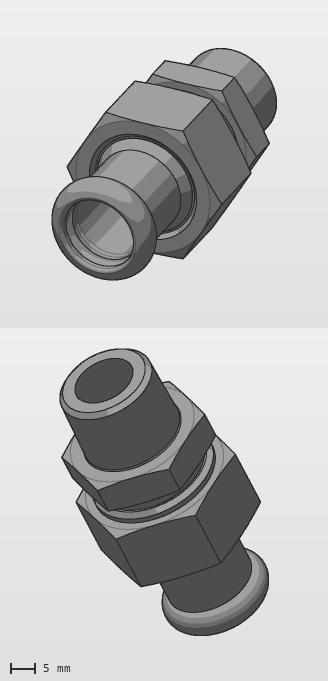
import cadquery as cq
import math

total_length = 64.0

bead_diameter = 22.7
bead_length = 6.4
bead_middle = bead_length / 2
tube_diameter = 18.3
tube_end = 20.0
collar_diameter = 21.4
collar_cone_end = 22.15

nut_flats = 30.0
nut_start = 21.45
nut_length = 15.0
nut_end = nut_start + nut_length
nut_opening = 24.0
nut_throat = 22.2
nut_opening_depth = (nut_opening - nut_throat) / 2

ring_diameter = 26.4
ring_chamfer = 1.0
ring_end = 38.5
neck_diameter = 23.5
hex_flats = 26.95
hex_start = 41.55
hex_length = 7.05
hex_end = hex_start + hex_length
hex_chamfer_angle = 15.0

flare_diameter = 21.25
flare_length = 0.4
thread_base_diameter = 20.9
thread_tip_diameter = 20.0
thread_chamfer = 1.0

mouth_rounding = 0.8
lip_diameter = 15.7
lip_end = 1.7
groove_diameter = 17.55
groove_end = 4.35
land_diameter = 15.3
land_end = 5.4
socket_diameter = 15.0
socket_start = 6.35
socket_end = 20.0
seat_diameter = 13.6
bore_diameter = 12.6
bore_start = 21.1
mouth_diameter = lip_diameter + 2 * mouth_rounding


def revolve_about_y(outline):
    return outline.close().revolve(360, (0, 0, 0), (0, 1, 0))


def turned_body(sections):
    """Solid of revolution through (diameter, position) pairs."""
    points = [(diameter / 2, position) for diameter, position in sections]
    outline = cq.Workplane("XY").moveTo(0, points[0][1])
    for point in points:
        outline = outline.lineTo(*point)
    return revolve_about_y(outline.lineTo(0, points[-1][1]))


def chamfered_hexagon(flats, start, length):
    """Hexagonal prism with corners along X and both ends turned to a shallow cone."""
    corners = flats / math.cos(math.pi / 6)
    drop = (corners - flats) / 2 * math.tan(math.radians(hex_chamfer_angle))
    prism = cq.Workplane("XZ", origin=(0, start, 0)).polygon(6, corners).extrude(-length)
    turned_blank = turned_body([
        (flats, start),
        (corners, start + drop),
        (corners, start + length - drop),
        (flats, start + length),
    ])
    return prism.intersect(turned_blank)


def rolled_bead():
    outline = (
        cq.Workplane("XY")
        .lineTo(mouth_diameter / 2, 0)
        .threePointArc((bead_diameter / 2, bead_middle), (tube_diameter / 2, bead_length))
        .lineTo(0, bead_length)
    )
    return revolve_about_y(outline)


def through_passage():
    groove_middle = (lip_end + groove_end) / 2
    outline = (
        cq.Workplane("XY")
        .lineTo(mouth_diameter / 2, 0)
        .radiusArc((lip_diameter / 2, mouth_rounding), mouth_rounding)
        .lineTo(lip_diameter / 2, lip_end)
        .threePointArc((groove_diameter / 2, groove_middle), (land_diameter / 2, groove_end))
        .lineTo(land_diameter / 2, land_end)
        .lineTo(socket_diameter / 2, socket_start)
        .lineTo(socket_diameter / 2, socket_end)
        .lineTo(seat_diameter / 2, socket_end)
        .lineTo(bore_diameter / 2, bore_start)
        .lineTo(bore_diameter / 2, total_length)
        .lineTo(0, total_length)
    )
    return revolve_about_y(outline)


def union_nut():
    nut = chamfered_hexagon(nut_flats, nut_start, nut_length)
    opening_end = nut_start + nut_opening_depth
    return nut.cut(turned_body([(nut_opening, nut_start), (nut_throat, opening_end)]))


tube = turned_body([
    (tube_diameter, bead_middle),
    (tube_diameter, tube_end),
    (collar_diameter, collar_cone_end),
    (collar_diameter, nut_end),
])

threaded_half = turned_body([
    (ring_diameter, nut_start + nut_length / 2),
    (ring_diameter, ring_end - ring_chamfer),
    (ring_diameter - 2 * ring_chamfer, ring_end),
    (neck_diameter, ring_end),
    (neck_diameter, hex_end),
    (flare_diameter, hex_end),
    (thread_base_diameter, hex_end + flare_length),
    (thread_tip_diameter, total_length - thread_chamfer),
    (thread_tip_diameter - 2 * thread_chamfer, total_length),
])

small_hexagon = chamfered_hexagon(hex_flats, hex_start, hex_length)
body = rolled_bead().union(tube).union(union_nut()).union(threaded_half).union(small_hexagon)
result = body.cut(through_passage())